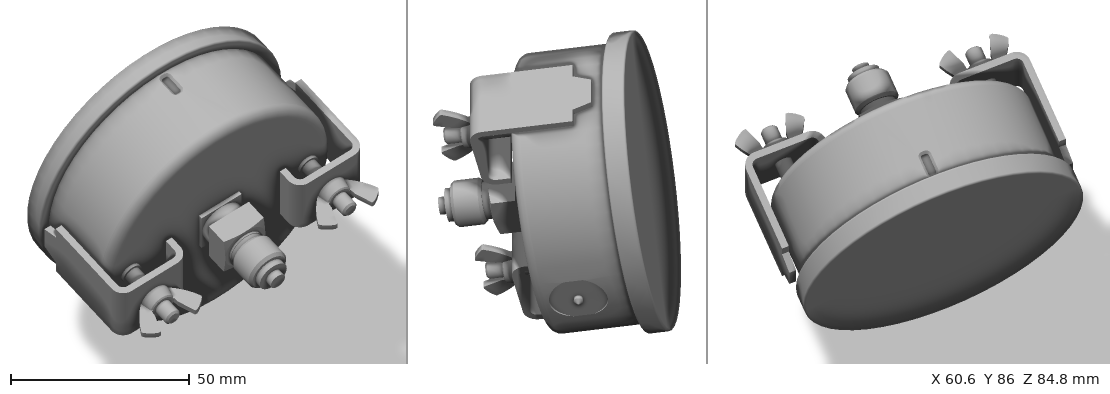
import cadquery as cq
import math


bezel_dia = 84.8
bezel_length = 6.45
bezel_edge_radius = 0.6
case_dia = 79.0
seam_length = 0.3
seam_depth = 0.3
case_back_x = 33.3
case_back_radius = 2.9

slot_length = 8.1
slot_width = 3.8
slot_center_x = 11.2
slot_corner_radius = 1.5
slot_chamfer = 0.73
slot_end_radius = 0.6

vent_x = 21.15
spot_face_dia = 16.5
spot_face_depth = 0.8
pin_dia = 2.5
pin_head_dia = 2.7
pin_tip_dia = 0.5
pin_head_z = -39.8
pin_tip_z = -40.9
pin_embed_depth = 0.9

square_width = 14.0
flange_end_x = 34.5
shank_dia = 13.5
wrench_start_x = 37.8
wrench_end_x = 45.5
wrench_face_dia = 14.2
wrench_corner_length = 0.8
lip_dia = 11.0
lip_end_x = 46.1
neck_dia = 10.6
plug_start_x = 47.7
plug_dia = 13.2
plug_chamfer_length = 0.95
plug_chamfer_depth = 0.8
plug_end_x = 56.6
step_dia = 9.5
step_end_x = 58.5
nipple_dia = 5.0
nipple_end_x = 60.6

bracket_outer_y = 43.0
bracket_inner_y = 18.9
bracket_width = 20.0
bracket_thickness = 2.1
bracket_bend_radius = 4.0
bracket_back_x = 44.5
bracket_lip_x = 36.5
bracket_tab_x = 9.3
bracket_shoulder_x = 14.5
tab_root_width = 11.9
tab_tip_width = 8.1

stud_y = (bracket_outer_y + bracket_inner_y) / 2
stud_dia = 5.0
stud_end_x = 53.3
stud_chamfer = 0.6
collar_dia = 6.5
collar_end_x = 34.2
nut_base_dia = 9.5
nut_base_end_x = 44.8
nut_top_dia = 7.9
nut_end_x = 48.25
nut_chamfer = 0.35
wing_thickness = 2.0
wing_root_y = 4.9
wing_back_mid = (48.2, 8.2)
wing_crest = (52.2, 10.5)
wing_tip_start = (52.7, 10.3)
wing_tip_mid = (54.2, 8.7)
wing_tip_end = (55.3, 6.8)
wing_point = (55.3, 6.0)
wing_inner_bend = (50.0, 4.0)
wing_inner_root_y = 3.9


def rod(start_x, end_x, dia):
    """Round bar along X."""
    return cq.Workplane("YZ", origin=(start_x, 0, 0)).circle(dia / 2).extrude(end_x - start_x)


def square_bar(start_x, end_x, width):
    """Square bar along X, centred on the gauge axis."""
    return cq.Workplane("YZ", origin=(start_x, 0, 0)).rect(width, width).extrude(end_x - start_x)


def cone(start_x, end_x, start_dia, end_dia):
    """Truncated cone along X."""
    profile = [(start_x, 0), (start_x, start_dia / 2), (end_x, end_dia / 2), (end_x, 0)]
    return cq.Workplane("XY").polyline(profile).close().revolve(360, (0, 0), (1, 0))


def gauge_case():
    """Bezel ring and case, parted by a fine seam groove."""
    bezel = rod(0, bezel_length, bezel_dia).edges().fillet(bezel_edge_radius)
    case = rod(bezel_length / 2, case_back_x, case_dia).faces(">X").edges().fillet(case_back_radius)
    seam_end_x = bezel_length + seam_length
    seam = rod(bezel_length, seam_end_x, bezel_dia).cut(
        rod(bezel_length, seam_end_x, case_dia - 2 * seam_depth)
    )
    return bezel.union(case.cut(seam))


def slot_mouth():
    """Cutter: the bevelled, round-cornered mouth of the blow-out slot."""
    return (
        cq.Workplane("XY", origin=(slot_center_x, 0, case_dia / 2))
        .sketch()
        .rect(slot_length, slot_width)
        .vertices()
        .fillet(slot_corner_radius)
        .finalize()
        .extrude(-slot_chamfer, taper=45)
    )


def slot_trough():
    """Cutter: the half-round trough below the slot mouth."""
    trough_length = slot_length - 2 * slot_chamfer
    trough_dia = slot_width - 2 * slot_chamfer
    round_bar = rod(0, trough_length, trough_dia).edges().fillet(slot_end_radius)
    lower_half = cq.Workplane("XY").box(
        trough_length, trough_dia, trough_dia, centered=(False, True, False)
    ).translate((0, 0, -trough_dia))
    trough_start_x = slot_center_x - trough_length / 2
    trough_z = case_dia / 2 - slot_chamfer
    return round_bar.intersect(lower_half).translate((trough_start_x, 0, trough_z))


def spot_face():
    """Cutter: a shallow flat-bottomed round recess in the underside of the case."""
    return (
        cq.Workplane("XY", origin=(vent_x, 0, -case_dia / 2))
        .circle(spot_face_dia / 2)
        .extrude(spot_face_depth)
    )


def vent_pin():
    """Pin with a pointed, slightly wider head, standing down from the spot face."""
    root_z = spot_face_depth - case_dia / 2 + pin_embed_depth
    profile = [
        (0, root_z),
        (pin_dia / 2, root_z),
        (pin_dia / 2, -case_dia / 2),
        (pin_head_dia / 2, pin_head_z),
        (pin_tip_dia / 2, pin_tip_z),
        (0, pin_tip_z),
    ]
    pin = cq.Workplane("XZ").polyline(profile).close().revolve(360, (0, 0), (0, 1))
    return pin.translate((vent_x, 0, 0))


def wrench_block():
    """Square wrench block whose outer corners are turned down to a circle."""
    corner_dia = square_width * math.sqrt(2)
    turned = rod(wrench_start_x, wrench_end_x - wrench_corner_length, corner_dia).union(
        cone(wrench_end_x - wrench_corner_length, wrench_end_x, corner_dia, wrench_face_dia)
    )
    return square_bar(wrench_start_x, wrench_end_x, square_width).intersect(turned)


def connection():
    """Turned pressure connection with a square flange and wrench block, along the gauge axis."""
    plug_small_dia = plug_dia - 2 * plug_chamfer_depth
    plug_full_start_x = plug_start_x + plug_chamfer_length
    plug_full_end_x = plug_end_x - plug_chamfer_length
    sections = [
        square_bar(case_back_x, flange_end_x, square_width),
        rod(flange_end_x, wrench_start_x, shank_dia),
        wrench_block(),
        rod(wrench_end_x, lip_end_x, lip_dia),
        rod(lip_end_x, plug_start_x, neck_dia),
        cone(plug_start_x, plug_full_start_x, plug_small_dia, plug_dia),
        rod(plug_full_start_x, plug_full_end_x, plug_dia),
        cone(plug_full_end_x, plug_end_x, plug_dia, plug_small_dia),
        rod(plug_end_x, step_end_x, step_dia),
        rod(step_end_x, nipple_end_x, nipple_dia),
    ]
    body = sections[0]
    for section in sections[1:]:
        body = body.union(section)
    return body


def bracket():
    """U-shaped strap on the +Y side: long arm with a tapered tab, back plate and short lip."""
    strap = (
        cq.Workplane("XY", origin=(0, 0, -bracket_width / 2))
        .moveTo(bracket_tab_x, bracket_inner_y)
        .lineTo(bracket_back_x, bracket_inner_y)
        .lineTo(bracket_back_x, bracket_outer_y)
        .lineTo(bracket_tab_x, bracket_outer_y)
        .close()
        .extrude(bracket_width)
        .edges("|Z and >X")
        .fillet(bracket_bend_radius)
    )
    hollow_end_x = bracket_back_x - bracket_thickness
    hollow = (
        cq.Workplane("XY", origin=(0, 0, -bracket_width / 2))
        .moveTo(0, bracket_inner_y + bracket_thickness)
        .lineTo(hollow_end_x, bracket_inner_y + bracket_thickness)
        .lineTo(hollow_end_x, bracket_outer_y - bracket_thickness)
        .lineTo(0, bracket_outer_y - bracket_thickness)
        .close()
        .extrude(bracket_width)
        .edges("|Z and >X")
        .fillet(bracket_bend_radius - bracket_thickness)
    )
    lip_trim = cq.Workplane("XY").box(
        bracket_lip_x, 2 * stud_y, bracket_width, centered=(False, True, True)
    )
    outline = (
        cq.Workplane("XZ")
        .moveTo(bracket_tab_x, tab_tip_width / 2)
        .lineTo(bracket_shoulder_x, tab_root_width / 2)
        .lineTo(bracket_shoulder_x, bracket_width / 2)
        .lineTo(bracket_back_x, bracket_width / 2)
        .lineTo(bracket_back_x, 0)
        .lineTo(bracket_tab_x, 0)
        .close()
        .extrude(-bracket_outer_y)
    )
    outline = outline.union(outline.mirror("XY"))
    return strap.cut(hollow).cut(lip_trim).intersect(outline)


def wing():
    """One wing of a nut, on the +Y side of the nut axis."""
    return (
        cq.Workplane("XY", origin=(0, 0, -wing_thickness / 2))
        .moveTo(bracket_back_x, 0)
        .lineTo(bracket_back_x, wing_root_y)
        .threePointArc(wing_back_mid, wing_crest)
        .lineTo(*wing_tip_start)
        .threePointArc(wing_tip_mid, wing_tip_end)
        .lineTo(*wing_point)
        .lineTo(*wing_inner_bend)
        .lineTo(nut_end_x, wing_inner_root_y)
        .lineTo(nut_end_x, 0)
        .close()
        .extrude(wing_thickness)
    )


def stud_with_wing_nut():
    """Threaded stud, its collar and its wing nut, on the +Y side."""
    stud = rod(case_back_x, stud_end_x, stud_dia).faces(">X").chamfer(stud_chamfer)
    collar = rod(case_back_x, collar_end_x, collar_dia)
    nut_base = rod(bracket_back_x, nut_base_end_x, nut_base_dia)
    nut_top = cone(nut_base_end_x, nut_end_x, nut_base_dia, nut_top_dia)
    nut_top = nut_top.faces(">X").chamfer(nut_chamfer)
    wings = wing().union(wing().mirror("XZ"))
    return stud.union(collar).union(nut_base).union(nut_top).union(wings).translate((0, stud_y, 0))


clamp = bracket().union(stud_with_wing_nut())

result = (
    gauge_case()
    .cut(slot_mouth())
    .cut(slot_trough())
    .cut(spot_face())
    .union(vent_pin())
    .union(connection())
    .union(clamp)
    .union(clamp.mirror("XZ"))
)